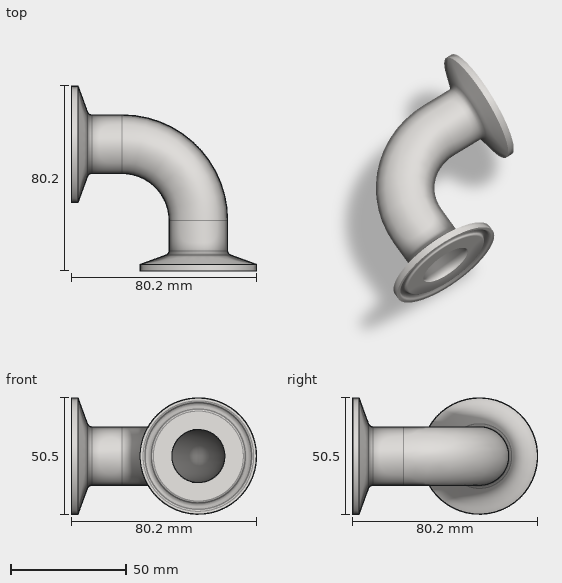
import cadquery as cq
import math


tube_outer_diameter = 25.4
bore_diameter = 23.0
face_to_centre = 55.0
bend_radius = 33.0
tube_radius = tube_outer_diameter / 2
bore_radius = bore_diameter / 2
leg_length = face_to_centre - bend_radius

flange_diameter = 50.5
rim_thickness = 2.85
cone_angle = math.radians(20)
neck_fillet_radius = 2.0
flange_radius = flange_diameter / 2

groove_centre_diameter = 43.5
groove_width = 4.45
groove_wall_angle = math.radians(67.5)
groove_wall_length = 0.5
groove_lip_radius = 0.8


def ferrule_leg():
    """Ferrule and straight tube, axis along +Y, sealing face on y = 0."""
    fillet_centre_radius = tube_radius + neck_fillet_radius
    cone_end_radius = fillet_centre_radius - neck_fillet_radius * math.sin(cone_angle)
    cone_end_height = rim_thickness + (flange_radius - cone_end_radius) * math.tan(cone_angle)
    fillet_end_height = cone_end_height + neck_fillet_radius * math.cos(cone_angle)
    middle_angle = (math.pi / 2 + cone_angle) / 2
    fillet_middle = (
        fillet_centre_radius - neck_fillet_radius * math.sin(middle_angle),
        fillet_end_height - neck_fillet_radius * math.cos(middle_angle),
    )
    profile = (
        cq.Workplane("XY")
        .moveTo(bore_radius, 0)
        .lineTo(flange_radius, 0)
        .lineTo(flange_radius, rim_thickness)
        .lineTo(cone_end_radius, cone_end_height)
        .threePointArc(fillet_middle, (tube_radius, fillet_end_height))
        .lineTo(tube_radius, leg_length)
        .lineTo(bore_radius, leg_length)
        .close()
    )
    return profile.revolve(360, (0, 0, 0), (0, 1, 0)).cut(gasket_groove())


def gasket_groove():
    """Ring removed from the sealing face."""
    centre = groove_centre_diameter / 2
    half_width = groove_width / 2
    half_angle = groove_wall_angle / 2

    wall_top_offset = half_width - groove_lip_radius * math.sin(groove_wall_angle)
    wall_top_depth = groove_lip_radius * (1 - math.cos(groove_wall_angle))
    wall_foot_offset = wall_top_offset - groove_wall_length * math.cos(groove_wall_angle)
    wall_foot_depth = wall_top_depth + groove_wall_length * math.sin(groove_wall_angle)
    bottom_radius = wall_foot_offset / math.sin(groove_wall_angle)
    groove_depth = wall_foot_depth + bottom_radius * (1 - math.cos(groove_wall_angle))
    lip_middle_offset = half_width - groove_lip_radius * math.sin(half_angle)
    lip_middle_depth = groove_lip_radius * (1 - math.cos(half_angle))

    profile = (
        cq.Workplane("XY")
        .moveTo(centre - half_width, 0)
        .threePointArc(
            (centre - lip_middle_offset, lip_middle_depth),
            (centre - wall_top_offset, wall_top_depth),
        )
        .lineTo(centre - wall_foot_offset, wall_foot_depth)
        .threePointArc(
            (centre, groove_depth),
            (centre + wall_foot_offset, wall_foot_depth),
        )
        .lineTo(centre + wall_top_offset, wall_top_depth)
        .threePointArc(
            (centre + lip_middle_offset, lip_middle_depth),
            (centre + half_width, 0),
        )
        .close()
    )
    return profile.revolve(360, (0, 0, 0), (0, 1, 0))


def bend():
    """Quarter-turn tube joining the two legs."""
    return (
        cq.Workplane("XZ", origin=(0, -bend_radius, 0))
        .circle(tube_radius)
        .circle(bore_radius)
        .revolve(90, (-bend_radius, 0, 0), (-bend_radius, 1, 0))
    )


leg_toward_minus_y = ferrule_leg().translate((0, -face_to_centre, 0))
leg_toward_minus_x = leg_toward_minus_y.rotate((0, 0, 0), (0, 0, 1), -90)

result = bend().union(leg_toward_minus_y).union(leg_toward_minus_x)